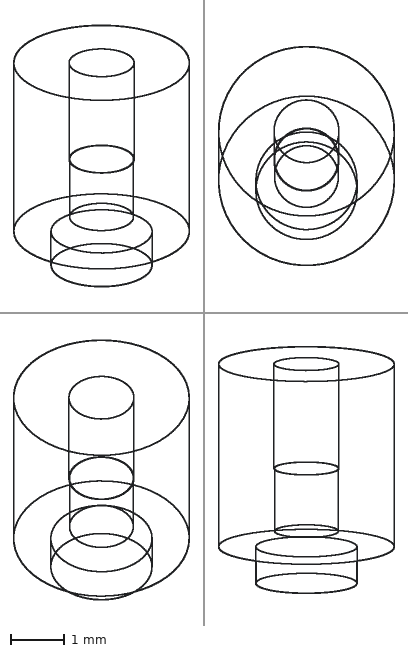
import cadquery as cq

body_diameter = 3.3
spigot_diameter = 1.9
body_height = 3.5
spigot_height = 0.7

upper_bore_diameter = 1.22
lower_bore_diameter = 1.2
upper_bore_depth = 2.0
bore_depth = 3.2


def cylinder(diameter, bottom, height):
    """Upright cylinder on the Z axis, starting at the given level."""
    return cq.Workplane("XY").workplane(offset=bottom).circle(diameter / 2).extrude(height)


body = cylinder(body_diameter, 0, body_height)
spigot = cylinder(spigot_diameter, -spigot_height, spigot_height)
upper_bore = cylinder(upper_bore_diameter, body_height - upper_bore_depth, upper_bore_depth)
lower_bore = cylinder(lower_bore_diameter, body_height - bore_depth, bore_depth)

result = body.union(spigot).cut(upper_bore).cut(lower_bore)